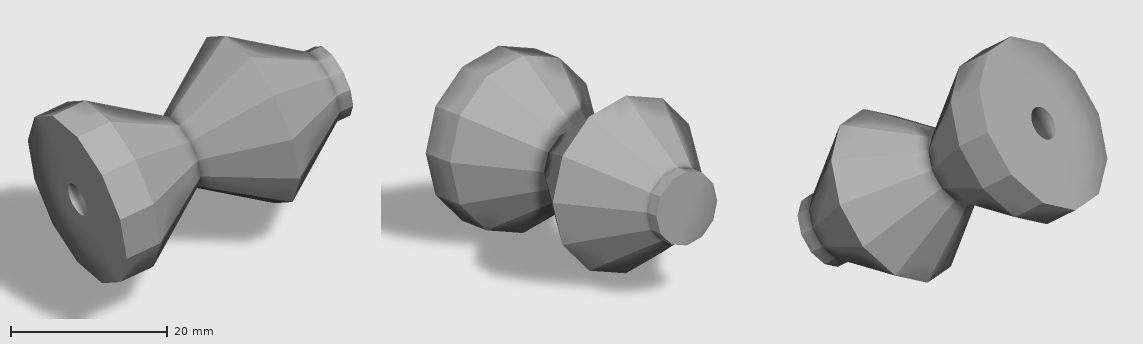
import cadquery as cq

LENGTH = 38.5
SIDES = 12
WIDE_DIAMETER = 24.0
NARROW_DIAMETER = 10.0
BASE_LENGTH = 5.0
NECK_LENGTH = 2.0
HOLE_DIAMETER = 4.5
HOLE_DEPTH = 19.25

CONE_COUNT = 3
CONE_LENGTH = (LENGTH - BASE_LENGTH - NECK_LENGTH) / CONE_COUNT


def frustum(start_y, length, start_diameter, end_diameter):
    """Twelve-sided frustum along +Y, with corners on the X and Z axes."""
    return (
        cq.Workplane("XZ", origin=(0, start_y, 0))
        .polygon(SIDES, start_diameter)
        .workplane(offset=-length)
        .polygon(SIDES, end_diameter)
        .loft(ruled=True, combine=True)
    )


body = frustum(0, BASE_LENGTH, WIDE_DIAMETER, WIDE_DIAMETER)

start_diameter, end_diameter = WIDE_DIAMETER, NARROW_DIAMETER
for index in range(CONE_COUNT):
    cone_start = BASE_LENGTH + index * CONE_LENGTH
    body = body.union(frustum(cone_start, CONE_LENGTH, start_diameter, end_diameter))
    start_diameter, end_diameter = end_diameter, start_diameter

body = body.union(frustum(LENGTH - NECK_LENGTH, NECK_LENGTH, NARROW_DIAMETER, NARROW_DIAMETER))

hole = cq.Workplane("XZ").circle(HOLE_DIAMETER / 2).extrude(-HOLE_DEPTH)

result = body.cut(hole)